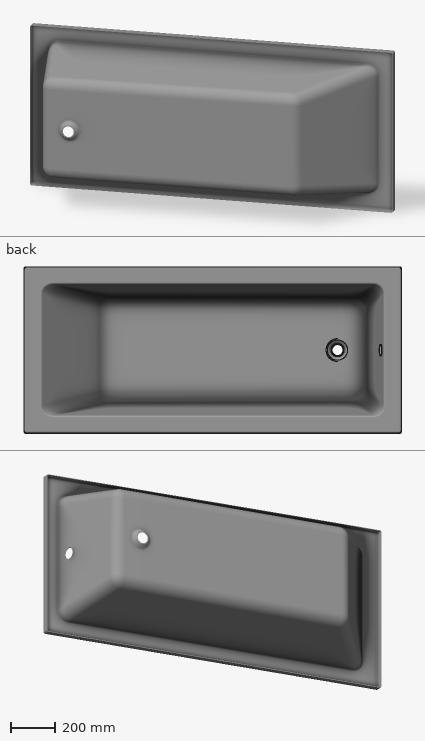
import cadquery as cq
import math


LENGTH = 1700.0
WIDTH = 750.0
RIM_DEPTH = 40.0
RIM_CORNER_RADIUS = 10.0
RIM_TOP_FILLET = 9.0
WALL = 3.0

FOOT_WALL_X = -LENGTH / 2 + 75.5
HEAD_WALL_X = LENGTH / 2 - 77.0
SIDE_WALL_Z = 300.0
FOOT_WALL_ANGLE = 12.0
HEAD_WALL_ANGLE = 35.5
SIDE_WALL_ANGLE = 10.0
BASIN_FILLET = 51.0
MOUTH_OVERRUN = 30.0
JOINT_FILLET = 6.0
SKIRT_CLEARANCE = 4 * WALL

FLOOR_DEPTH = 405.0
FLOOR_ANGLE = 1.0

DRAIN_X = -LENGTH / 2 + 288.0
DRAIN_BOTTOM = 422.2
DRAIN_TIP_DIAMETER = 60.0
DRAIN_HOLE_DIAMETER = 50.0
DRAIN_CONE_ANGLE = 45.0
DRAIN_FLARE_RADIUS = 10.0
DRAIN_OVERLAP = WALL / 2
BORE_OVERRUN = 10.0
OVERFLOW_DIAMETER = 52.0
OVERFLOW_DEPTH = 78.0


def slope(angle):
    """Sideways run per unit of height for a face leaning by angle degrees."""
    return math.tan(math.radians(angle))


def rim_blank(inset, depth):
    """Rounded plate hanging below the rim's top plane."""
    return (
        cq.Workplane("XZ")
        .rect(LENGTH - 2 * inset, WIDTH - 2 * inset)
        .extrude(depth)
        .edges("|Y")
        .fillet(RIM_CORNER_RADIUS - inset)
    )


def make_rim():
    """Flat rim with a skirt, hollow underneath."""
    plate = rim_blank(0, RIM_DEPTH).faces(">Y").edges().fillet(RIM_TOP_FILLET)
    hollow = rim_blank(WALL, RIM_DEPTH).faces(">Y").edges().fillet(RIM_TOP_FILLET - WALL)
    return plate.cut(hollow.translate((0, -WALL, 0)))


def basin_long_profile():
    """Lengthwise outline in X and Y: steep foot wall, floor in two planes, reclined head wall."""
    foot_run = slope(FOOT_WALL_ANGLE)
    head_run = slope(HEAD_WALL_ANGLE)
    floor_rise = math.tan(math.radians(FLOOR_ANGLE))
    floor_depth_at_origin = FLOOR_DEPTH + DRAIN_X * floor_rise
    head_floor_x = (HEAD_WALL_X - head_run * floor_depth_at_origin) / (1 - head_run * floor_rise)
    head_floor_y = -FLOOR_DEPTH + (head_floor_x - DRAIN_X) * floor_rise
    return (
        cq.Workplane("XY")
        .moveTo(FOOT_WALL_X - MOUTH_OVERRUN * foot_run, MOUTH_OVERRUN)
        .lineTo(FOOT_WALL_X + FLOOR_DEPTH * foot_run, -FLOOR_DEPTH)
        .lineTo(DRAIN_X, -FLOOR_DEPTH)
        .lineTo(head_floor_x, head_floor_y)
        .lineTo(HEAD_WALL_X + MOUTH_OVERRUN * head_run, MOUTH_OVERRUN)
        .close()
    )


def basin_cross_profile():
    """Crosswise outline in Y and Z: the two side walls, carried on well below the floor."""
    side_run = slope(SIDE_WALL_ANGLE)
    depth = 2 * FLOOR_DEPTH
    top_z = SIDE_WALL_Z + MOUTH_OVERRUN * side_run
    base_z = SIDE_WALL_Z - depth * side_run
    return (
        cq.Workplane("YZ")
        .moveTo(MOUTH_OVERRUN, -top_z)
        .lineTo(MOUTH_OVERRUN, top_z)
        .lineTo(-depth, base_z)
        .lineTo(-depth, -base_z)
        .close()
    )


def basin_body(inset):
    """Solid basin shape, open end above the rim, with every face moved inward by inset."""
    long_profile = basin_long_profile()
    cross_profile = basin_cross_profile()
    if inset:
        long_profile = long_profile.offset2D(-inset, "intersection")
        cross_profile = cross_profile.offset2D(-inset, "intersection")
    body = long_profile.extrude(WIDTH, both=True)
    body = body.intersect(cross_profile.extrude(LENGTH, both=True))
    crease_reach = 2 * WALL
    floor_crease = cq.selectors.BoxSelector(
        (DRAIN_X - crease_reach, -FLOOR_DEPTH - crease_reach, -crease_reach),
        (DRAIN_X + crease_reach, -FLOOR_DEPTH + crease_reach, crease_reach),
    )
    below_mouth = cq.selectors.StringSyntaxSelector("not(>Y)")
    rounded_edges = cq.selectors.SubtractSelector(below_mouth, floor_crease)
    return body.edges(rounded_edges).fillet(BASIN_FILLET - inset)


def drain_funnel():
    """Solid funnel: a cone below the floor with a concave flare where it meets it."""
    tip_radius = DRAIN_TIP_DIAMETER / 2
    cone_turn = math.radians(DRAIN_CONE_ANGLE)
    cone_edge = tip_radius + (DRAIN_BOTTOM - FLOOR_DEPTH) * slope(DRAIN_CONE_ANGLE)
    tangent_length = DRAIN_FLARE_RADIUS * math.tan(cone_turn / 2)
    flare_radius = cone_edge + tangent_length
    flare_start = (
        cone_edge - tangent_length * math.cos(cone_turn),
        -FLOOR_DEPTH - tangent_length * math.sin(cone_turn),
    )
    flare_middle = (
        flare_radius - DRAIN_FLARE_RADIUS * math.sin(cone_turn / 2),
        -FLOOR_DEPTH - DRAIN_FLARE_RADIUS * (1 - math.cos(cone_turn / 2)),
    )
    top = -FLOOR_DEPTH + DRAIN_OVERLAP
    return (
        cq.Workplane("XY")
        .moveTo(0, top)
        .lineTo(0, -DRAIN_BOTTOM)
        .lineTo(tip_radius, -DRAIN_BOTTOM)
        .lineTo(*flare_start)
        .threePointArc(flare_middle, (flare_radius, -FLOOR_DEPTH))
        .lineTo(flare_radius, top)
        .close()
        .revolve(360, (0, 0, 0), (0, 1, 0))
        .translate((DRAIN_X, 0, 0))
    )


def drain_bore():
    """Conical passage from the basin out through the drain tip."""
    tip_radius = DRAIN_HOLE_DIAMETER / 2
    bore_height = DRAIN_BOTTOM - FLOOR_DEPTH + BORE_OVERRUN
    return cq.Workplane(
        cq.Solid.makeCone(
            tip_radius,
            tip_radius + bore_height * slope(DRAIN_CONE_ANGLE),
            bore_height,
            pnt=cq.Vector(DRAIN_X, -DRAIN_BOTTOM, 0),
            dir=cq.Vector(0, 1, 0),
        )
    )


def rim_plane_edges(depth):
    """Selector for the basin's outline edges at a depth below the rim top, skirt edges excluded."""
    half_length = LENGTH / 2 - SKIRT_CLEARANCE
    half_width = WIDTH / 2 - SKIRT_CLEARANCE
    slack = 0.01
    return cq.selectors.BoxSelector(
        (-half_length, -depth - slack, -half_width),
        (half_length, -depth + slack, half_width),
        boundingbox=True,
    )


def basin_below_rim_top():
    """Outer basin shape trimmed level with the rim's top plane."""
    above_rim = cq.Workplane("XZ").rect(2 * LENGTH, 2 * WIDTH).extrude(-2 * MOUTH_OVERRUN)
    return basin_body(0).cut(above_rim)


def overflow_hole():
    """Round hole along X through the foot wall."""
    return (
        cq.Workplane("YZ")
        .center(-OVERFLOW_DEPTH, 0)
        .circle(OVERFLOW_DIAMETER / 2)
        .extrude(-LENGTH)
    )


bath = make_rim().union(basin_below_rim_top())
bath = bath.edges(rim_plane_edges(WALL)).fillet(JOINT_FILLET)
bath = bath.union(drain_funnel())
bath = bath.cut(basin_body(WALL)).cut(drain_bore())
bath = bath.edges(rim_plane_edges(0)).fillet(JOINT_FILLET + WALL)
result = bath.cut(overflow_hole())